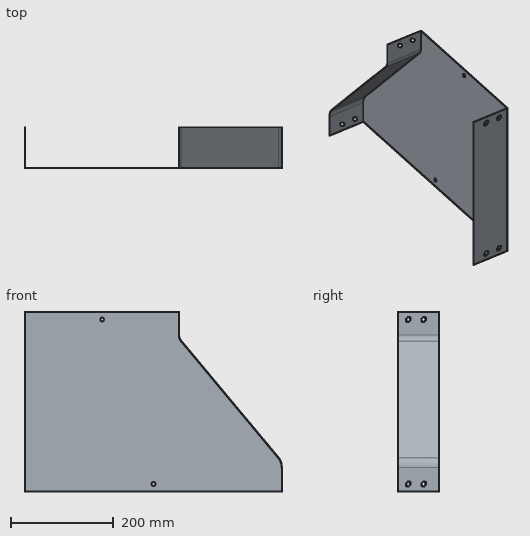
import cadquery as cq

base_width = 500.0
top_width = 300.0
height = 350.0
depth = 80.0
sheet = 1.0

upper_bend_z = 298.5
lower_bend_z = 58.5
upper_bend_radius = 18.0
lower_bend_radius = 30.0

hole_diameter = 7.0
hole_edge_distance = 15.0
slot_width = 7.0
slot_length = 11.5
slot_angle = 45.0
wall_slot_depths = (20.0, 50.0)
hole_heights = (hole_edge_distance, height - hole_edge_distance)


def make_body():
    """Solid prism with the front outline, extruded from y = 0 to the back."""
    outline = [
        (0, 0),
        (base_width, 0),
        (base_width, lower_bend_z),
        (top_width, upper_bend_z),
        (top_width, height),
        (0, height),
    ]
    prism = cq.Workplane("XZ").polyline(outline).close().extrude(-depth)
    lower_bend = cq.NearestToPointSelector((base_width, depth / 2, lower_bend_z))
    upper_bend = cq.NearestToPointSelector((top_width, depth / 2, upper_bend_z))
    prism = prism.edges("|Y").edges(lower_bend).fillet(lower_bend_radius)
    return prism.edges("|Y").edges(upper_bend).fillet(upper_bend_radius)


def hollow_out(body):
    """Leave the front plate and side walls; open the back, top and bottom."""
    return body.faces(">Y or >Z or <Z").shell(-sheet)


def drill_front_plate(part):
    """One hole centred along the bottom edge and one along the top edge."""
    centres = list(zip((base_width / 2, top_width / 2), hole_heights))
    drills = cq.Workplane("XZ").pushPoints(centres).circle(hole_diameter / 2).extrude(-depth)
    return part.cut(drills)


def cut_side_wall_slots(part):
    """Pairs of diagonal slots near the top and bottom of both side walls.

    The slots lean towards the front in the left wall and towards the back in the right wall.
    """
    centres = [(y, z) for y in wall_slot_depths for z in hole_heights]
    right_wall_x = top_width - sheet
    walls = (
        (0, sheet, 180 - slot_angle),
        (right_wall_x, base_width - right_wall_x, slot_angle),
    )
    for start_x, reach, angle in walls:
        cutters = (
            cq.Workplane("YZ", origin=(start_x, 0, 0))
            .pushPoints(centres)
            .slot2D(slot_length, slot_width, angle)
            .extrude(reach)
        )
        part = part.cut(cutters)
    return part


result = cut_side_wall_slots(drill_front_plate(hollow_out(make_body())))